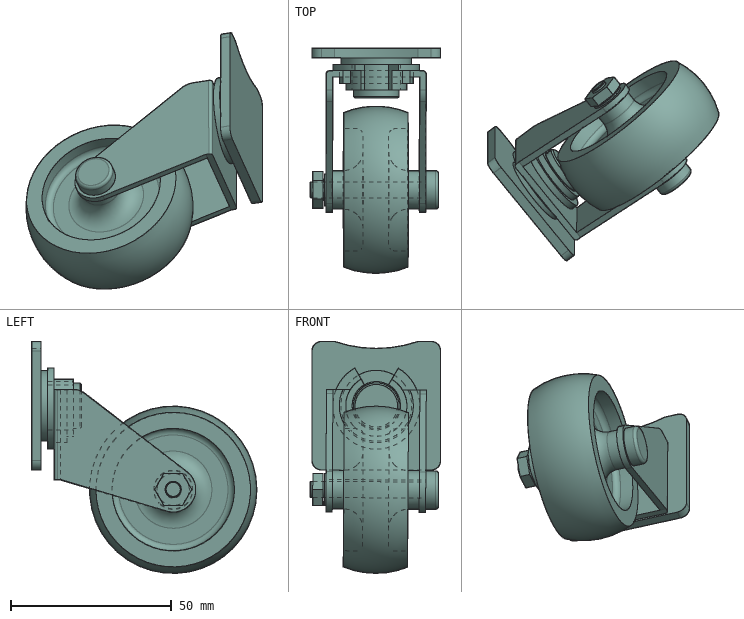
import cadquery as cq
import math


plate_size = 40.0
plate_thickness = 3.0
plate_corner_radius = 3.0
top_recess_half_width = 13.0
top_recess_radius = 40.0
collar_radius = 11.0
collar_thickness = 2.0
pin_radius = 7.5
pin_tip_radius = 7.1
pin_tip_length = 2.5
pin_tip_chamfer = 0.5

flange_radius = 13.5
flange_thickness = 2.0
sleeve_radius = 9.5
sleeve_length = 8.0
spigot_radius = 11.5
spigot_length = 4.0
notch_half_angle = 30.0

sheet_thickness = 2.0
fork_width = 31.0
fork_top = 5.0
fork_bottom = -23.0
fork_bend_radius = 1.0
fork_nose_radius = 7.0
shoulder_depth = 15.0
shoulder_radius = 6.0

axle_depth = 44.0
axle_drop = 26.1
swivel_angle = 0.33

wheel_radius = 26.0
wheel_width = 20.0
crown_radius = 26.0
rim_inner_radius = 19.0
rim_fillet = 2.0
wheel_web_thickness = 8.0
hub_radius = 6.0

bolt_radius = 2.5
head_radius = 6.0
head_length = 4.0
head_fillet = 1.0
bolt_end_x = -20.5
bolt_end_chamfer = 0.3
nut_across_flats = 10.0
nut_thickness = 3.2
nut_outer_x = -19.6
washer_radius = 5.0
washer_thickness = 0.5

collar_face = plate_thickness + collar_thickness
fork_back = collar_face + flange_thickness
fork_web_face = fork_back + sheet_thickness
spigot_face = fork_back + spigot_length
sleeve_face = collar_face + sleeve_length
pin_face = sleeve_face + pin_tip_length

fork_half_width = fork_width / 2
fork_inner_half = fork_half_width - sheet_thickness


def swivel_cylinder(radius, start, end):
    """Cylinder about the swivel axis between two distances from the back of the plate."""
    return cq.Workplane("XZ").workplane(offset=start).circle(radius).extrude(end - start)


def axle_plane(x):
    """Workplane square to the axle and centred on it, facing +X."""
    return cq.Workplane("YZ", origin=(x, -axle_depth, -axle_drop))


def axle_cylinder(radius, start_x, end_x):
    """Cylinder about the axle between two X positions."""
    return axle_plane(start_x).circle(radius).extrude(end_x - start_x)


def make_plate():
    half = plate_size / 2
    slab = (
        cq.Workplane("XZ")
        .rect(plate_size, plate_size)
        .extrude(plate_thickness)
        .edges("|Y")
        .fillet(plate_corner_radius)
    )
    recess_rise = math.sqrt(top_recess_radius**2 - top_recess_half_width**2)
    recess = (
        cq.Workplane("XZ")
        .center(0, half + recess_rise)
        .circle(top_recess_radius)
        .extrude(plate_thickness)
    )
    collar = swivel_cylinder(collar_radius, plate_thickness, collar_face)
    pin = swivel_cylinder(pin_radius, collar_face, sleeve_face)
    tip = swivel_cylinder(pin_tip_radius, sleeve_face, pin_face).faces("<Y").chamfer(pin_tip_chamfer)
    return slab.cut(recess).union(collar).union(pin).union(tip)


def make_sleeve():
    flange = swivel_cylinder(flange_radius, collar_face, fork_back)
    spigot = swivel_cylinder(spigot_radius, fork_back, spigot_face)
    above_fork = (
        cq.Workplane("XZ")
        .workplane(offset=fork_back)
        .center(0, fork_top + spigot_radius / 2)
        .rect(2 * spigot_radius, spigot_radius)
        .extrude(spigot_length)
    )
    tube = swivel_cylinder(sleeve_radius, fork_back, sleeve_face)
    bore = swivel_cylinder(pin_radius, collar_face, sleeve_face)
    notch_height = 2 * flange_radius
    notch_half_width = notch_height * math.tan(math.radians(notch_half_angle))
    notch = (
        cq.Workplane("XZ")
        .workplane(offset=collar_face)
        .polyline([(0, 0), (-notch_half_width, notch_height), (notch_half_width, notch_height)])
        .close()
        .extrude(sleeve_length)
    )
    return flange.union(spigot.cut(above_fork)).union(tube).cut(bore).cut(notch)


def nose_tangent_point(corner_y, corner_z, side):
    """Point where a line from the corner touches the fork nose, above (1) or below (-1) the axle."""
    to_corner_y = corner_y + axle_depth
    to_corner_z = corner_z + axle_drop
    distance = math.hypot(to_corner_y, to_corner_z)
    swing = math.acos(fork_nose_radius / distance)
    angle = math.atan2(to_corner_z, to_corner_y) + side * swing
    return (
        -axle_depth + fork_nose_radius * math.cos(angle),
        -axle_drop + fork_nose_radius * math.sin(angle),
    )


def make_fork():
    upper_tangent = nose_tangent_point(-shoulder_depth, fork_top, 1)
    lower_tangent = nose_tangent_point(-fork_web_face, fork_bottom, -1)
    side_profile = (
        cq.Workplane("YZ")
        .workplane(offset=-fork_half_width)
        .moveTo(-fork_back, fork_bottom)
        .lineTo(-fork_back, fork_top)
        .lineTo(-shoulder_depth, fork_top)
        .lineTo(*upper_tangent)
        .threePointArc((-axle_depth - fork_nose_radius, -axle_drop), lower_tangent)
        .lineTo(-fork_web_face, fork_bottom)
        .close()
        .extrude(fork_width)
    )
    shoulder = cq.selectors.NearestToPointSelector((0, -shoulder_depth, fork_top))
    blank = side_profile.edges(shoulder).fillet(shoulder_radius)
    blank = blank.faces(">Y").edges("|Z").fillet(fork_bend_radius)

    reach = axle_depth + 2 * fork_nose_radius
    gap = (
        cq.Workplane("XZ")
        .workplane(offset=fork_web_face)
        .rect(2 * fork_inner_half, 2 * plate_size + 2 * axle_drop)
        .extrude(reach)
    )
    spigot_hole = swivel_cylinder(spigot_radius, fork_back, fork_web_face)
    axle_hole = axle_cylinder(bolt_radius, -fork_half_width, fork_half_width)
    return blank.cut(gap).cut(spigot_hole).cut(axle_hole)


def make_wheel():
    half_width = wheel_width / 2
    half_web = wheel_web_thickness / 2
    shoulder = wheel_radius - crown_radius + math.sqrt(crown_radius**2 - half_width**2)
    flare_radius = half_width - half_web
    flare_outer = hub_radius + flare_radius
    diagonal = math.sqrt(0.5)
    flare_mid = (half_width - flare_radius * diagonal, flare_outer - flare_radius * diagonal)
    rim_mid = (
        half_web + rim_fillet * (1 - diagonal),
        rim_inner_radius - rim_fillet * (1 - diagonal),
    )
    section = (
        cq.Workplane("XY")
        .moveTo(-fork_inner_half, bolt_radius)
        .lineTo(-fork_inner_half, hub_radius)
        .lineTo(-half_width, hub_radius)
        .threePointArc((-flare_mid[0], flare_mid[1]), (-half_web, flare_outer))
        .lineTo(-half_web, rim_inner_radius - rim_fillet)
        .threePointArc((-rim_mid[0], rim_mid[1]), (-half_web - rim_fillet, rim_inner_radius))
        .lineTo(-half_width, rim_inner_radius)
        .lineTo(-half_width, shoulder)
        .threePointArc((0, wheel_radius), (half_width, shoulder))
        .lineTo(half_width, rim_inner_radius)
        .lineTo(half_web + rim_fillet, rim_inner_radius)
        .threePointArc(rim_mid, (half_web, rim_inner_radius - rim_fillet))
        .lineTo(half_web, flare_outer)
        .threePointArc(flare_mid, (half_width, hub_radius))
        .lineTo(fork_inner_half, hub_radius)
        .lineTo(fork_inner_half, bolt_radius)
        .close()
    )
    wheel = section.revolve(360, (0, 0, 0), (1, 0, 0))
    return wheel.translate((0, -axle_depth, -axle_drop))


def make_bolt():
    head_end = fork_half_width + head_length
    head = axle_cylinder(head_radius, fork_half_width, head_end).faces(">X").edges().fillet(head_fillet)
    shank = axle_cylinder(bolt_radius, bolt_end_x, fork_half_width)
    return shank.faces("<X").chamfer(bolt_end_chamfer).union(head)


def make_nut():
    across_corners = nut_across_flats / math.cos(math.pi / 6)
    return axle_plane(nut_outer_x).polygon(6, across_corners).circle(bolt_radius).extrude(nut_thickness)


def make_washer():
    washer_outer_x = -fork_half_width - washer_thickness
    return axle_plane(washer_outer_x).circle(washer_radius).circle(bolt_radius).extrude(washer_thickness)


def swivelled(body):
    """The body turned about the swivel axis to the caster's resting angle."""
    return body.rotate((0, 0, 0), (0, 1, 0), swivel_angle)


plate = make_plate()
sleeve = swivelled(make_sleeve())
fork = swivelled(make_fork())
wheel = swivelled(make_wheel())
bolt = swivelled(make_bolt())
nut = swivelled(make_nut())
washer = swivelled(make_washer())

bodies = [plate, sleeve, fork, wheel, bolt, nut, washer]
result = cq.Compound.makeCompound([body.solids().val() for body in bodies])